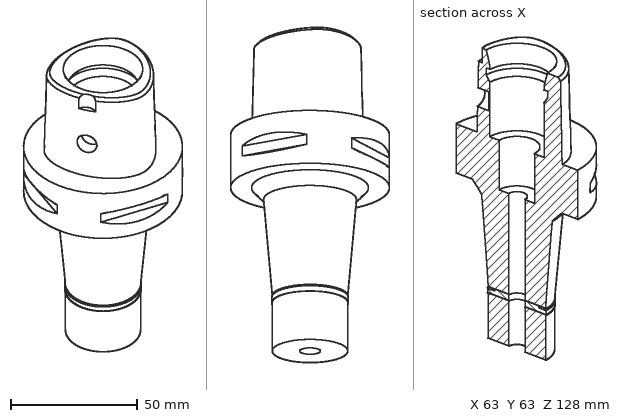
import cadquery as cq
import math


SHANK_HEIGHT = 38.0
SHANK_BASE_RADIUS = 22.1
SHANK_TAPER = 0.025
LOBE_HEIGHT = 1.4
OUTLINE_POINTS = 36
SHANK_CHAMFER = 1.3

SOCKET_MOUTH_RADIUS = 15.7
SOCKET_RADIUS = 14.0
SOCKET_CONE_DEPTH = 6.4
GROOVE_TOP_DEPTH = 8.2
GROOVE_CONE_DEPTH = 11.1
GROOVE_BOTTOM_DEPTH = 13.8
COUNTERBORE_RADIUS = 9.1
COOLANT_RADIUS = 4.1

KEY_SLOT_RADIUS = 4.4
KEY_SLOT_DEPTH = 6.4
KEY_SLOT_FLOOR_Y = -17.9
CROSS_HOLE_RADIUS = 4.1
CROSS_HOLE_HEIGHT = 15.5
CROSS_HOLE_FLOOR_Y = -14.7

FLANGE_RADIUS = 31.5
FLANGE_HEIGHT = 22.0
GRIP_COUNT = 4
GRIP_FLOOR_DISTANCE = 27.8
GRIP_FLOOR_HEIGHT = 4.1
GRIP_CENTER_Z = -12.0
GRIP_SIDE_SLOPE = 0.5

SHOULDER_CONE_RADIUS = 23.2
SHOULDER_CONE_HEIGHT = 5.0
NOSE_TOP_RADIUS = 18.4
NOSE_BOTTOM_RADIUS = 15.0
NOSE_BOTTOM_Z = -67.1

NECK_RADIUS = 11.5
NECK_HEIGHT = 0.6
SPINDLE_COLLAR_RADIUS = 15.2
SPINDLE_COLLAR_HEIGHT = 2.2
NUT_RADIUS = 15.0
OVERALL_LENGTH = 128.0

NUT_BOTTOM_Z = SHANK_HEIGHT - OVERALL_LENGTH
SPINDLE_COLLAR_TOP_Z = NOSE_BOTTOM_Z - NECK_HEIGHT
NUT_TOP_Z = SPINDLE_COLLAR_TOP_Z - SPINDLE_COLLAR_HEIGHT


def cylinder(radius, bottom, top):
    return cq.Workplane("XY").workplane(offset=bottom).circle(radius).extrude(top - bottom)


def lobed_wire(mean_radius, z):
    """Three-lobed outline, one lobe toward +Y, whose support distance is
    mean_radius - LOBE_HEIGHT * sin(3 * angle)."""
    points = []
    for index in range(OUTLINE_POINTS):
        angle = 2 * math.pi * index / OUTLINE_POINTS
        support = mean_radius - LOBE_HEIGHT * math.sin(3 * angle)
        slope = -3 * LOBE_HEIGHT * math.cos(3 * angle)
        x = support * math.cos(angle) - slope * math.sin(angle)
        y = support * math.sin(angle) + slope * math.cos(angle)
        points.append(cq.Vector(x, y, z))
    return cq.Wire.assembleEdges([cq.Edge.makeSpline(points, periodic=True)])


def make_shank():
    shoulder_z = SHANK_HEIGHT - SHANK_CHAMFER
    shoulder_radius = SHANK_BASE_RADIUS - SHANK_TAPER * shoulder_z
    base = lobed_wire(SHANK_BASE_RADIUS, 0)
    shoulder = lobed_wire(shoulder_radius, shoulder_z)
    tip = lobed_wire(shoulder_radius - SHANK_CHAMFER, SHANK_HEIGHT)
    return cq.Workplane(cq.Solid.makeLoft([base, shoulder, tip], True))


def make_flange_and_nose():
    nose_top_z = -FLANGE_HEIGHT - SHOULDER_CONE_HEIGHT
    return (
        cq.Workplane("XZ")
        .moveTo(0, 0)
        .lineTo(FLANGE_RADIUS, 0)
        .lineTo(FLANGE_RADIUS, -FLANGE_HEIGHT)
        .lineTo(SHOULDER_CONE_RADIUS, -FLANGE_HEIGHT)
        .lineTo(NOSE_TOP_RADIUS, nose_top_z)
        .lineTo(NOSE_BOTTOM_RADIUS, NOSE_BOTTOM_Z)
        .lineTo(0, NOSE_BOTTOM_Z)
        .close()
        .revolve(360, (0, 0), (0, 1))
    )


def make_socket():
    """Stepped cavity: tapered mouth, undercut groove, bore and counterbore."""
    cone_z = SHANK_HEIGHT - SOCKET_CONE_DEPTH
    groove_top_z = SHANK_HEIGHT - GROOVE_TOP_DEPTH
    groove_cone_z = SHANK_HEIGHT - GROOVE_CONE_DEPTH
    groove_bottom_z = SHANK_HEIGHT - GROOVE_BOTTOM_DEPTH
    return (
        cq.Workplane("XZ")
        .moveTo(0, SHANK_HEIGHT)
        .lineTo(SOCKET_MOUTH_RADIUS, SHANK_HEIGHT)
        .lineTo(SOCKET_RADIUS, cone_z)
        .lineTo(SOCKET_RADIUS, groove_top_z)
        .lineTo(SOCKET_MOUTH_RADIUS, groove_top_z)
        .lineTo(SOCKET_MOUTH_RADIUS, groove_cone_z)
        .lineTo(SOCKET_RADIUS, groove_bottom_z)
        .lineTo(SOCKET_RADIUS, 0)
        .lineTo(COUNTERBORE_RADIUS, 0)
        .lineTo(COUNTERBORE_RADIUS, -FLANGE_HEIGHT)
        .lineTo(0, -FLANGE_HEIGHT)
        .close()
        .revolve(360, (0, 0), (0, 1))
    )


def make_key_slot():
    floor_z = SHANK_HEIGHT - KEY_SLOT_DEPTH
    slot = cylinder(KEY_SLOT_RADIUS, floor_z, SHANK_HEIGHT)
    return slot.translate((0, KEY_SLOT_FLOOR_Y - KEY_SLOT_RADIUS, 0))


def make_cross_hole():
    hole = cq.Workplane("XZ", origin=(0, CROSS_HOLE_FLOOR_Y, CROSS_HOLE_HEIGHT))
    return hole.circle(CROSS_HOLE_RADIUS).extrude(FLANGE_RADIUS + CROSS_HOLE_FLOOR_Y)


def make_grip_groove(direction):
    """Straight flat-floored groove across the flange's rim, flaring outward."""
    depth = FLANGE_RADIUS - GRIP_FLOOR_DISTANCE
    floor_half = GRIP_FLOOR_HEIGHT / 2
    mouth_half = floor_half + GRIP_SIDE_SLOPE * depth
    groove = (
        cq.Workplane("XZ")
        .moveTo(GRIP_FLOOR_DISTANCE, GRIP_CENTER_Z - floor_half)
        .lineTo(FLANGE_RADIUS, GRIP_CENTER_Z - mouth_half)
        .lineTo(FLANGE_RADIUS, GRIP_CENTER_Z + mouth_half)
        .lineTo(GRIP_FLOOR_DISTANCE, GRIP_CENTER_Z + floor_half)
        .close()
        .extrude(FLANGE_RADIUS, both=True)
    )
    return groove.rotate((0, 0, 0), (0, 0, 1), direction)


def make_holder():
    holder = make_flange_and_nose().union(make_shank())
    holder = holder.cut(make_socket())
    holder = holder.cut(cylinder(COOLANT_RADIUS, NOSE_BOTTOM_Z, SHANK_HEIGHT))
    holder = holder.cut(make_key_slot()).cut(make_cross_hole())
    spacing = 360 / GRIP_COUNT
    for index in range(GRIP_COUNT):
        holder = holder.cut(make_grip_groove(spacing * (index + 0.5)))
    return holder


def make_spindle():
    neck = cylinder(NECK_RADIUS, SPINDLE_COLLAR_TOP_Z, NOSE_BOTTOM_Z)
    collar = cylinder(SPINDLE_COLLAR_RADIUS, NUT_TOP_Z, SPINDLE_COLLAR_TOP_Z)
    return neck.union(collar).cut(cylinder(COOLANT_RADIUS, NUT_TOP_Z, NOSE_BOTTOM_Z))


def make_nut():
    body = cylinder(NUT_RADIUS, NUT_BOTTOM_Z, NUT_TOP_Z)
    return body.cut(cylinder(COOLANT_RADIUS, NUT_BOTTOM_Z, NUT_TOP_Z))


holder = make_holder()
spindle = make_spindle()
nut = make_nut()

result = cq.Compound.makeCompound([holder.val(), spindle.val(), nut.val()])